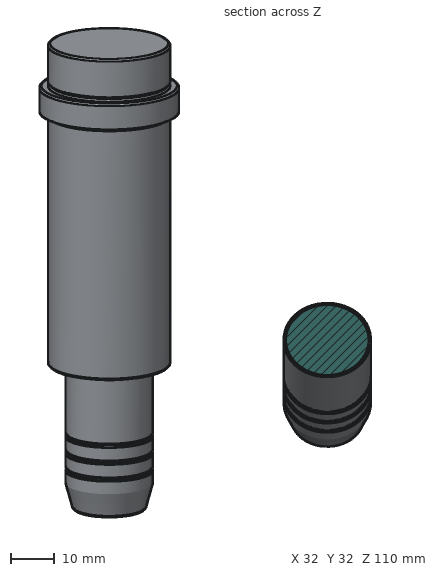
import cadquery as cq


spigot_length = 34.0
body_length = 60.0
collar_length = 6.0
head_length = 10.0

body_base = spigot_length
collar_base = body_base + body_length
head_base = collar_base + collar_length

spigot_radius = 10.0
body_radius = 14.0
collar_radius = 16.0

edge_chamfer = 0.5
relief_depth = 0.5
shoulder_relief_width = 1.0
neck_width = 0.5

tip_radius = 8.5
tip_length = 6.0
tip_chamfer = 0.5

groove_count = 3
groove_pitch = 4.0
groove_depth = 0.5
groove_floor_width = 0.5
first_groove_height = 9.0


def cylinder(radius, base, length):
    """Solid cylinder on the Z axis."""
    return cq.Workplane("XY").workplane(offset=base).circle(radius).extrude(length)


def turned(points):
    """Solid of revolution about the Z axis from (radius, height) points."""
    return cq.Workplane("XZ").polyline(points).close().revolve(axisStart=(0, 0, 0), axisEnd=(0, 1, 0))


def spigot():
    """Lower shank with a conical tip and a relief under the body."""
    tip = turned([
        (0, 0),
        (tip_radius - tip_chamfer, 0),
        (tip_radius, tip_chamfer),
        (spigot_radius, tip_length),
        (0, tip_length),
    ])
    relief_base = spigot_length - shoulder_relief_width
    shank = cylinder(spigot_radius, tip_length, relief_base - tip_length)
    relief = cylinder(spigot_radius - relief_depth, relief_base, shoulder_relief_width)
    return tip.union(shank).union(relief)


def body():
    """Main cylinder, chamfered at both ends, with a short neck under the collar."""
    barrel = cylinder(body_radius, body_base, body_length - neck_width)
    barrel = barrel.faces("<Z or >Z").chamfer(edge_chamfer)
    neck = cylinder(body_radius - relief_depth, collar_base - neck_width, neck_width)
    return barrel.union(neck)


def collar():
    """Locating flange with a chamfered upper rim."""
    return cylinder(collar_radius, collar_base, collar_length).faces(">Z").chamfer(edge_chamfer)


def head():
    """Upper cylinder on a short neck that flares out onto the collar."""
    neck_radius = body_radius - relief_depth
    neck_base = head_base + edge_chamfer
    cap_base = neck_base + neck_width
    head_top = head_base + head_length
    return turned([
        (0, head_base),
        (body_radius, head_base),
        (neck_radius, neck_base),
        (neck_radius, cap_base),
        (body_radius, cap_base),
        (body_radius, head_top - edge_chamfer),
        (body_radius - edge_chamfer, head_top),
        (0, head_top),
    ])


def ring_groove(height):
    """Cutter for one groove around the spigot: flat ledge at the given height, sloping upper side."""
    floor_radius = spigot_radius - groove_depth
    slope_base = height + groove_floor_width
    return turned([
        (spigot_radius, height),
        (floor_radius, height),
        (floor_radius, slope_base),
        (spigot_radius, slope_base + groove_depth),
    ])


result = spigot().union(body()).union(collar()).union(head())
for index in range(groove_count):
    result = result.cut(ring_groove(first_groove_height + index * groove_pitch))